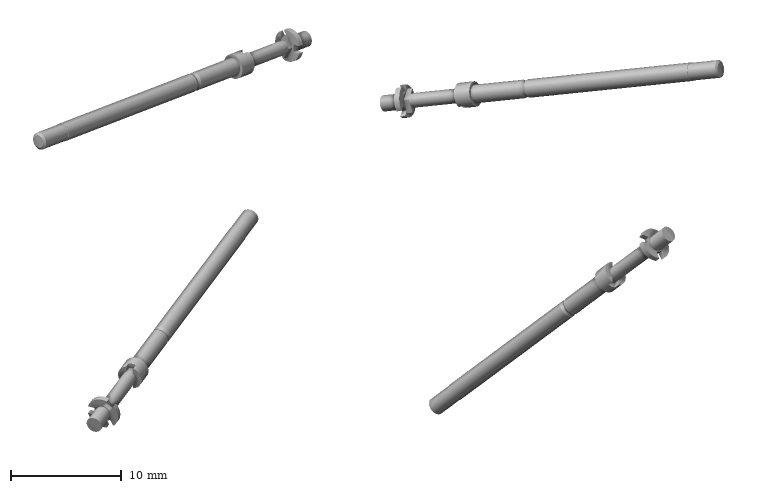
import cadquery as cq
import math

length = 35.0
half_length = length / 2

tail_radius = 0.75
flange_radius = 1.5
wedge_core_radius = 0.52
neck_radius = 0.63
body_radius = 0.65
collar_radius = 1.15
shaft_radius = 0.85
groove_radius = 0.7
tip_radius = 0.8
tip_face_radius = 0.6

flange_back = 1.92
flange_front = 2.45
wedge_front = 2.98
neck_front = 3.4
collar_back = 7.95
collar_front = 9.52
groove_back = 14.55
groove_bottom = 14.8
groove_front = 15.1
tip_back = 31.95
tip_chamfer_length = 0.15

notch_count = 3
notch_width = 0.75
notch_floor = 0.8

wedge_half_height = 1.12
wedge_tip_angle = 60.0
wedge_half_width = wedge_half_height * math.tan(math.radians(wedge_tip_angle / 2))

collar_slot_width = 0.7
collar_slot_length = 0.55


def section_plane(distance):
    """XZ workplane at a distance from the tail end; extrusions run toward -Y."""
    return cq.Workplane("XZ", origin=(0, half_length - distance, 0))


def make_turned_pin():
    """Revolve the stepped half-profile, listed as (radius, distance from the tail end)."""
    profile = [
        (0, 0),
        (tail_radius, 0),
        (tail_radius, flange_back),
        (flange_radius, flange_back),
        (flange_radius, flange_front),
        (wedge_core_radius, flange_front),
        (wedge_core_radius, wedge_front),
        (neck_radius, wedge_front),
        (body_radius, neck_front),
        (body_radius, collar_back),
        (collar_radius, collar_back),
        (collar_radius, collar_front),
        (shaft_radius, collar_front),
        (shaft_radius, groove_back),
        (groove_radius, groove_bottom),
        (shaft_radius, groove_front),
        (shaft_radius, tip_back),
        (tip_radius, tip_back),
        (tip_radius, length - tip_chamfer_length),
        (tip_face_radius, length),
        (0, length),
    ]
    points = [(radius, half_length - distance) for radius, distance in profile]
    return cq.Workplane("XY").polyline(points).close().revolve(360, (0, 0, 0), (0, 1, 0))


def make_flange_notches():
    """Flat-floored notches spaced evenly round the flange, the first at +X."""
    notch_depth = flange_radius - notch_floor
    notch = (
        section_plane(flange_back)
        .center(flange_radius, 0)
        .rect(2 * notch_depth, notch_width)
        .extrude(flange_front - flange_back)
    )
    notches = notch
    for index in range(1, notch_count):
        turn = index * 360 / notch_count
        notches = notches.union(notch.rotate((0, 0, 0), (0, 1, 0), turn))
    return notches


def make_wedge():
    """Rhombic prism standing on the front of the flange."""
    corners = [
        (wedge_half_width, 0),
        (0, wedge_half_height),
        (-wedge_half_width, 0),
        (0, -wedge_half_height),
    ]
    return section_plane(flange_front).polyline(corners).close().extrude(wedge_front - flange_front)


def make_collar_slots():
    """One cutter for both collar slots, leaving the round body between them."""
    bar = (
        section_plane(collar_back)
        .rect(collar_slot_width, 2 * collar_radius)
        .extrude(collar_slot_length)
    )
    core = section_plane(collar_back).circle(body_radius).extrude(collar_slot_length)
    return bar.cut(core)


result = (
    make_turned_pin()
    .cut(make_flange_notches())
    .cut(make_collar_slots())
    .union(make_wedge())
)